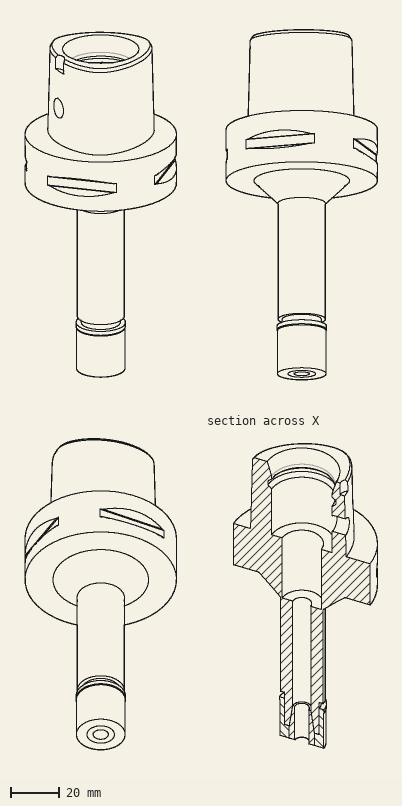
import cadquery as cq
import math


total_height = 143.0
flange_top = 105.0
flange_height = 22.0
flange_bottom = flange_top - flange_height
shank_top = 73.2
shank_bottom = 23.5
nut_height = 20.6

flange_diameter = 63.0
flange_radius = flange_diameter / 2
cone_radius = 19.9
shank_radius = 9.9
neck_radius = 8.2

lobe_mean_radius = 22.2
lobe_height = 1.6
taper_slope = 1 / 40
rim_chamfer_width = 0.9
rim_chamfer_height = 1.5
curve_points = 72

mouth_radius = 15.9
mouth_cone_height = 7.0
bore_radius = 13.9
bore_floor = flange_top
thread_bore_radius = 9.0
thread_bore_floor = shank_top

groove_radius = 15.6
groove_top = 134.3
groove_bottom = 129.1

notch_radius = 4.3
notch_center_y = -22.0
notch_depth = 6.1
side_hole_radius = 4.1
side_hole_z = 120.4
side_hole_floor_y = -14.3

slot_count = 4
slot_first_angle = 45
slot_floor_radius = 27.7
slot_floor_width = 4.0
slot_mouth_width = 7.6
slot_wall_depth = 0.6
slot_z = 93.1
slot_length = 2 * math.sqrt(flange_radius**2 - slot_floor_radius**2)

collet_radius = 5.7
collet_nose_height = 6.5
collet_height = 18.0
collet_angle = 8
collet_bore_radius = 3.1
collet_top_radius = collet_radius - (collet_height - collet_nose_height) * math.tan(math.radians(collet_angle))

nut_collar_radius = 10.3
nut_body_radius = 10.2
nut_collar_bottom = 18.9
nut_step_height = 0.5


def turned(profile):
    """Solid of revolution about Z from (radius, z) points."""
    return cq.Workplane("XZ").polyline(profile).close().revolve(360, (0, 0, 0), (0, 1, 0))


def lobed_wire(z, mean_radius):
    """Constant-width three-lobed outline with one lobe toward +Y."""

    def point(fraction):
        angle = 2 * math.pi * fraction - math.pi / 2
        lobe_phase = 3 * (angle - math.pi / 2)
        reach = mean_radius + lobe_height * math.cos(lobe_phase)
        slide = -3 * lobe_height * math.sin(lobe_phase)
        return (
            reach * math.cos(angle) - slide * math.sin(angle),
            reach * math.sin(angle) + slide * math.cos(angle),
            z,
        )

    points = [cq.Vector(*point(step / curve_points)) for step in range(curve_points)]
    return cq.Wire.assembleEdges([cq.Edge.makeSpline(points, periodic=True)])


def make_taper():
    """Lobed taper shank with a chamfered rim."""
    rim_z = total_height - rim_chamfer_height
    rim_radius = lobe_mean_radius - (rim_z - flange_top) * taper_slope
    base = lobed_wire(flange_top, lobe_mean_radius)
    rim = lobed_wire(rim_z, rim_radius)
    top = lobed_wire(total_height, rim_radius - rim_chamfer_width)
    shank = cq.Solid.makeLoft([base, rim], True)
    chamfer = cq.Solid.makeLoft([rim, top], True)
    return cq.Workplane(shank).union(cq.Workplane(chamfer))


def make_holder_blank():
    """Flange, cone, shank and threaded neck."""
    return turned(
        [
            (0, flange_top),
            (flange_radius, flange_top),
            (flange_radius, flange_bottom),
            (cone_radius, flange_bottom),
            (shank_radius, shank_top),
            (shank_radius, shank_bottom),
            (neck_radius, shank_bottom),
            (neck_radius, collet_nose_height),
            (0, collet_nose_height),
        ]
    )


def make_bore():
    """Stepped bore from the rim down to the tapered collet seat."""
    groove_flank = groove_radius - bore_radius
    return turned(
        [
            (0, total_height),
            (mouth_radius, total_height),
            (bore_radius, total_height - mouth_cone_height),
            (bore_radius, groove_top),
            (groove_radius, groove_top - groove_flank),
            (groove_radius, groove_bottom + groove_flank),
            (bore_radius, groove_bottom),
            (bore_radius, bore_floor),
            (thread_bore_radius, bore_floor),
            (thread_bore_radius, thread_bore_floor),
            (collet_top_radius, thread_bore_floor),
            (collet_top_radius, collet_height),
            (collet_radius, collet_nose_height),
            (0, collet_nose_height),
        ]
    )


def make_rim_notch():
    """Round-backed notch cut down from the rim."""
    notch = cq.Workplane("XY", origin=(0, notch_center_y, total_height - notch_depth))
    return notch.circle(notch_radius).extrude(notch_depth)


def make_side_hole():
    """Blind hole running from outside the taper toward the axis."""
    hole = cq.Workplane("XZ", origin=(0, side_hole_floor_y, side_hole_z))
    return hole.circle(side_hole_radius).extrude(lobe_mean_radius + side_hole_floor_y)


def make_gripper_slot(angle):
    """Slot across the flange edge, centred at the given angle about Z."""
    half_floor = slot_floor_width / 2
    half_mouth = slot_mouth_width / 2
    flare_radius = slot_floor_radius + slot_wall_depth
    slot = (
        cq.Workplane("XZ", origin=(0, slot_length / 2, 0))
        .moveTo(slot_floor_radius, slot_z - half_floor)
        .lineTo(flare_radius, slot_z - half_floor)
        .lineTo(flange_radius, slot_z - half_mouth)
        .lineTo(flange_radius, slot_z + half_mouth)
        .lineTo(flare_radius, slot_z + half_floor)
        .lineTo(slot_floor_radius, slot_z + half_floor)
        .close()
        .extrude(slot_length)
    )
    return slot.rotate((0, 0, 0), (0, 0, 1), angle)


def make_holder():
    holder = make_holder_blank().union(make_taper())
    holder = holder.cut(make_bore()).cut(make_rim_notch()).cut(make_side_hole())
    for index in range(slot_count):
        holder = holder.cut(make_gripper_slot(slot_first_angle + index * 360 / slot_count))
    return holder


def make_nut():
    """Nut screwed over the neck, with an opening at its face for the collet nose."""
    return turned(
        [
            (collet_radius, 0),
            (nut_body_radius, 0),
            (nut_body_radius, nut_collar_bottom - nut_step_height),
            (nut_collar_radius, nut_collar_bottom),
            (nut_collar_radius, nut_height),
            (neck_radius, nut_height),
            (neck_radius, collet_nose_height),
            (collet_radius, collet_nose_height),
        ]
    )


def make_collet():
    """Tapered sleeve seated in the holder and held by the nut."""
    return turned(
        [
            (collet_bore_radius, 0),
            (collet_radius, 0),
            (collet_radius, collet_nose_height),
            (collet_top_radius, collet_height),
            (collet_bore_radius, collet_height),
        ]
    )


holder = make_holder()
nut = make_nut()
collet = make_collet()

result = cq.Compound.makeCompound([holder.solids().val(), nut.val(), collet.val()])